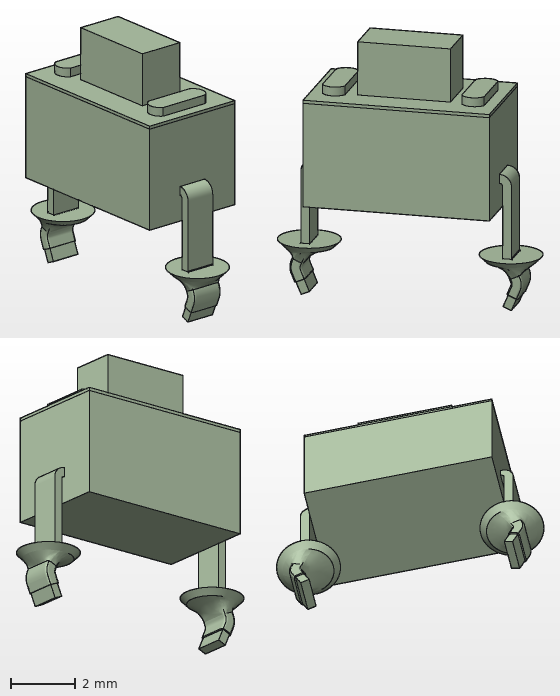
import cadquery as cq
import math

HOUSING_LENGTH = 5.99
HOUSING_WIDTH = 3.46
HOUSING_HEIGHT = 3.37

COVER_THICKNESS = 0.1
COVER_TOP = HOUSING_HEIGHT + COVER_THICKNESS

BUTTON_LENGTH = 2.99
BUTTON_WIDTH = 1.53
BUTTON_HEIGHT = 1.73

RIB_SPACING = 4.48
RIB_WIDTH = 0.72
RIB_LENGTH = 2.12
RIB_END_BOW = 0.21
RIB_HEIGHT = 0.29

LEAD_SPACING = 6.495
LEAD_WIDTH = 1.0
LEAD_THICKNESS = 0.29
SHOULDER_HEIGHT = 0.76
KINK_ANGLE = 23.0
KINK_RADIUS = 0.38
TIP_BOTTOM = -3.25

SOLDER_TOP = -1.58
SOLDER_DIAMETER = 1.995
SOLDER_RIM_HEIGHT = 0.2
WAIST_DEPTH = 0.36
WAIST_SHIFT = 0.15
WAIST_LENGTH = 0.9
WAIST_WIDTH = 1.36
SOLDER_COAT = 0.05
SOLDER_ROUND = 0.1
HORN_LENGTH = 0.63
BARE_TIP = 0.43

LEAD_X = LEAD_SPACING / 2
WALL_X = HOUSING_LENGTH / 2
SHOULDER_RADIUS = LEAD_X - WALL_X
LEAN_SIN = math.sin(math.radians(KINK_ANGLE))
LEAN_COS = math.cos(math.radians(KINK_ANGLE))
DIAGONAL = math.sqrt(0.5)

TIP_Z = TIP_BOTTOM + LEAD_THICKNESS / 2 * LEAN_SIN
ELBOW_Z = (SOLDER_TOP + TIP_Z) / 2
LEG_LENGTH = (SOLDER_TOP - ELBOW_Z) / LEAN_COS
STRAIGHT_LEG = LEG_LENGTH - KINK_RADIUS * LEAN_SIN / LEAN_COS
ELBOW_X = LEAD_X + STRAIGHT_LEG * LEAN_SIN + KINK_RADIUS * (1 - LEAN_COS)


def upper_leg_point(distance):
    """Centreline point on the upper kinked leg, measured from the start of the kink."""
    return (LEAD_X + distance * LEAN_SIN, SOLDER_TOP - distance * LEAN_COS)


def lower_leg_point(distance):
    """Centreline point on the lower kinked leg, measured from the tip."""
    return (LEAD_X + distance * LEAN_SIN, TIP_Z + distance * LEAN_COS)


def box_on(z, length, width, height):
    """Block centred on the Z axis, standing on height z."""
    return cq.Workplane("XY", origin=(0, 0, z)).rect(length, width).extrude(height)


def make_rib(side):
    """Rib on the cover, long along Y, with both ends bowed outward."""
    half_width = RIB_WIDTH / 2
    half_length = RIB_LENGTH / 2
    half_straight = half_length - RIB_END_BOW
    return (
        cq.Workplane("XY", origin=(side * RIB_SPACING / 2, 0, COVER_TOP))
        .moveTo(-half_width, -half_straight)
        .threePointArc((0, -half_length), (half_width, -half_straight))
        .lineTo(half_width, half_straight)
        .threePointArc((0, half_length), (-half_width, half_straight))
        .close()
        .extrude(RIB_HEIGHT)
    )


def on_side(body, side):
    """Body made for the +X side, mirrored when it belongs on the -X side."""
    return body if side > 0 else body.mirror("YZ")


def add_elbow(path):
    """Continue a path on the upper kinked leg down to the elbow and around it."""
    return path.lineTo(*upper_leg_point(STRAIGHT_LEG)).threePointArc(
        (ELBOW_X, ELBOW_Z), lower_leg_point(STRAIGHT_LEG)
    )


def make_lead():
    """Strip on the +X side: out of the housing wall, straight down, then kinked."""
    wall_z = SHOULDER_HEIGHT + SHOULDER_RADIUS
    arc_middle = (
        WALL_X + SHOULDER_RADIUS * DIAGONAL,
        SHOULDER_HEIGHT + SHOULDER_RADIUS * DIAGONAL,
    )
    shoulder_and_shank = (
        cq.Workplane("XZ")
        .moveTo(WALL_X, wall_z)
        .threePointArc(arc_middle, (LEAD_X, SHOULDER_HEIGHT))
        .lineTo(LEAD_X, SOLDER_TOP)
    )
    path = add_elbow(shoulder_and_shank).lineTo(LEAD_X, TIP_Z)
    section = cq.Workplane("YZ", origin=(WALL_X, 0, wall_z)).rect(LEAD_WIDTH, LEAD_THICKNESS)
    return section.sweep(path, transition="right")


def make_collar():
    """Rounded outline square to the upper kinked leg, where the horn meets the sleeve."""
    collar_x, collar_z = upper_leg_point(HORN_LENGTH)
    plane = cq.Plane(
        origin=(collar_x, 0, collar_z),
        xDir=(LEAN_COS, 0, LEAN_SIN),
        normal=(-LEAN_SIN, 0, LEAN_COS),
    )
    thickness = LEAD_THICKNESS + 2 * SOLDER_COAT
    width = LEAD_WIDTH + 2 * SOLDER_COAT
    outline = cq.Workplane(plane).rect(thickness, width).wires().val()
    return outline.fillet2D(SOLDER_ROUND, outline.Vertices())


def make_solder_horn(collar):
    """Cone under the disc, then a smooth flow through an oval waist into the collar."""
    up = cq.Vector(0, 0, 1)
    top_radius = SOLDER_DIAMETER / 2
    neck_radius = top_radius - SOLDER_RIM_HEIGHT
    neck_center = cq.Vector(LEAD_X, 0, SOLDER_TOP - SOLDER_RIM_HEIGHT)
    rim = cq.Solid.makeCone(neck_radius, top_radius, SOLDER_RIM_HEIGHT, pnt=neck_center, dir=up)

    neck = cq.Wire.makeCircle(neck_radius, neck_center, up)
    waist_center = cq.Vector(LEAD_X + WAIST_SHIFT, 0, SOLDER_TOP - WAIST_DEPTH)
    waist = cq.Wire.makeEllipse(
        WAIST_WIDTH / 2, WAIST_LENGTH / 2, waist_center, up, cq.Vector(0, 1, 0)
    )
    flow = cq.Solid.makeLoft([neck, waist, collar])
    return cq.Workplane(rim).union(cq.Workplane(flow))


def make_solder_sleeve(collar):
    """Even coat around the elbow, ending square to the lower kinked leg."""
    path_start = cq.Workplane("XZ").moveTo(*upper_leg_point(HORN_LENGTH))
    path = add_elbow(path_start).lineTo(*lower_leg_point(BARE_TIP)).wire()
    return cq.Workplane(cq.Solid.sweep(collar, [], path.val()))


def make_solder(lead):
    """Solder on the +X side, with the lead passing through it."""
    collar = make_collar()
    return make_solder_sleeve(collar).union(make_solder_horn(collar)).cut(lead)


housing = box_on(0, HOUSING_LENGTH, HOUSING_WIDTH, HOUSING_HEIGHT)
cover = box_on(HOUSING_HEIGHT, HOUSING_LENGTH, HOUSING_WIDTH, COVER_THICKNESS)
button = box_on(COVER_TOP, BUTTON_LENGTH, BUTTON_WIDTH, BUTTON_HEIGHT)

right_lead = make_lead()
right_solder = make_solder(right_lead)

ribs = []
leads = []
solders = []
for side in (-1, 1):
    ribs.append(make_rib(side).val())
    leads.append(on_side(right_lead, side).val())
    solders.append(on_side(right_solder, side).val())

result = cq.Compound.makeCompound(
    [housing.val(), cover.val(), button.val(), *ribs, *leads, *solders]
)